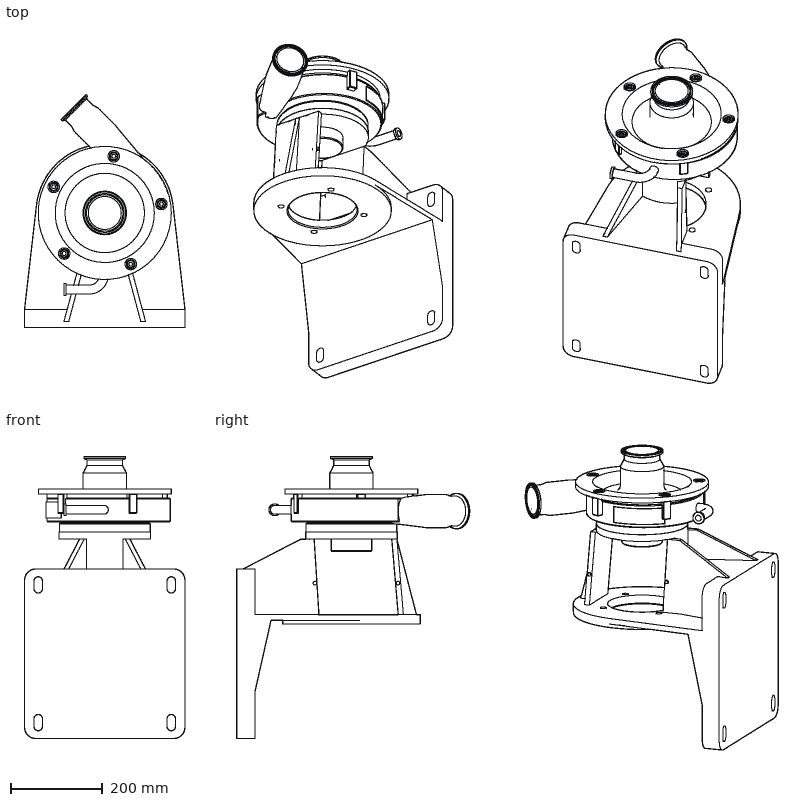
import cadquery as cq
import math


PLATE_WIDTH = 350.0
PLATE_HEIGHT = 370.0
PLATE_THICKNESS = 40.0
PLATE_TOP = 100.0
PLATE_FRONT = -250.0
PLATE_REAR = PLATE_FRONT + PLATE_THICKNESS
PLATE_CORNER_RADIUS = 25.0
SLOT_WIDTH = 18.0
SLOT_LENGTH = 35.0
SLOT_SPACING_X = 290.0
SLOT_SPACING_Z = 300.0

FLOOR_THICKNESS = 12.5
PAD_THICKNESS = 20.5
PAD_RADIUS = 150.0
FLOOR_BORE_RADIUS = 75.0
FLOOR_BORE_CHAMFER = 2.5
FLOOR_HOLE_DIAMETER = 13.0
FLOOR_HOLE_CIRCLE_RADIUS = 92.0
GUSSET_DEPTH = 35.0
GUSSET_BOTTOM = -168.0

POST_TOP = 165.0
POST_HALF_WIDTH = 55.0
FRONT_POST_INNER_BOTTOM = -70.5
FRONT_POST_INNER_TOP = -81.0
FRONT_POST_CORNER = -110.0
REAR_POST_INNER_BOTTOM = 101.7
REAR_POST_INNER_TOP = 87.6
REAR_POST_THICKNESS = 11.5
REAR_RIB_THICKNESS = 10.0
REAR_RIB_FOOT = 142.0
RIB_THICKNESS = 10.0
RIB_SPLAY = math.tan(math.radians(15.0))
RIB_END = -236.0
GUARD_HOLE_DIAMETER = 8.0
GUARD_HOLE_DEPTH = 12.0
GUARD_HOLE_Z = 69.0
GUARD_HOLE_FRONT_Y = -79.5
GUARD_HOLE_REAR_Y = 101.5

ADAPTER_RADIUS = 100.0
ADAPTER_UPPER_RADIUS = 99.3
ADAPTER_SPLIT = 180.0
ADAPTER_TOP = 200.0
ADAPTER_CHAMFER = 2.0
SHAFT_RADIUS = 44.5
SHAFT_BOTTOM = 137.5
SHAFT_CHAMFER = 2.0

CASING_BOTTOM = 202.5
CASING_TOP = 254.0
CASING_CHAMFER = 2.0
CASING_LEFT_RADIUS = 126.25
CASING_LEFT_CENTER_Y = -5.25
CASING_REACH_DIAGONAL = 136.5
CASING_REACH_RIGHT = 143.0
CASING_REACH_THROAT = 143.5
THROAT_ANGLE = 45.0
CASING_NECK_RADIUS = 126.0
BACK_RADIUS = 96.0
NAME_PAD_HEIGHT = 2.25
NAME_PAD_BOTTOM = 210.5
NAME_PAD_TOP = 246.0
NAME_PAD_START = 170.0
NAME_PAD_END = 222.0

COVER_RADIUS = 145.0
COVER_TOP = 274.0
COVER_BOTTOM = 263.0
DISH_RIM_RADIUS = 108.0
DISH_CONE_FOOT_RADIUS = 86.5
DISH_CONE_FOOT_Z = 250.5
DISH_FLOOR_OUTER_RADIUS = 76.0
DISH_FLOOR_INNER_RADIUS = 66.0
DISH_FLOOR_Z = 248.0
INLET_TOP = 344.5
INLET_BASE_RADIUS = 47.5
INLET_TAPER_BOTTOM = 308.7
INLET_TAPER_TOP = 325.0
INLET_TUBE_RADIUS = 39.0
INLET_LIP_RADIUS = 45.7
INLET_LIP_THICKNESS = 4.0
INLET_LIP_BACK = 3.0
INLET_BORE_RADIUS = 36.0
INLET_BORE_FLOOR = 215.0

INLET_GROOVE_RADIUS = 41.0
DISCHARGE_GROOVE_RADIUS = 35.0
GROOVE_WIDTH = 2.5
GROOVE_DEPTH = 1.5

BOLT_COUNT = 5
BOLT_START_ANGLE = 9.0
BOLT_CIRCLE_RADIUS = 125.0
LUG_WIDTH = 18.5
LUG_LENGTH = 24.0
LUG_REACH = 137.0
LUG_BOTTOM = 221.0
LUG_CHAMFER = 1.5
BOLT_RECESS_RADIUS = 12.5
BOLT_RECESS_DEPTH = 6.0
BOLT_HEAD_RADIUS = 9.5
BOLT_HEAD_CHAMFER = 2.0
BOLT_SOCKET_DIAMETER = 9.0
BOLT_SOCKET_DEPTH = 4.0

DISCHARGE_OFFSET = 115.0
DISCHARGE_Z = 225.8
DISCHARGE_END = 211.0
DISCHARGE_LIP_RADIUS = 38.75
DISCHARGE_LIP_THICKNESS = 4.0
DISCHARGE_LIP_BACK = 3.0
DISCHARGE_TUBE_RADIUS = 33.0
DISCHARGE_FLARE_START = 185.0
DISCHARGE_FLARE_END = 173.0
DISCHARGE_RADIUS = 36.5
DISCHARGE_CONE_START = 118.0
DISCHARGE_THROAT_RADIUS = 26.0
DISCHARGE_BORE_RADIUS = 30.0

DRAIN_Z = 228.7
DRAIN_RADIUS = 9.7
DRAIN_BEND_RADIUS = 32.0
DRAIN_Y = -167.0
DRAIN_BEND_X = -34.0
DRAIN_END_X = -89.0
DRAIN_LIP_RADIUS = 13.0
DRAIN_LIP_THICKNESS = 5.0
DRAIN_BORE_RADIUS = 6.5
DRAIN_ROOT_Y = -115.0


def cylinder(radius, bottom, top, x=0.0, y=0.0):
    """Vertical cylinder between two heights."""
    return cq.Workplane("XY", origin=(x, y, bottom)).circle(radius).extrude(top - bottom)


def polar(radius, angle):
    """Point at a radius and an angle in degrees around the pump axis."""
    turn = math.radians(angle)
    return (radius * math.cos(turn), radius * math.sin(turn))


def along_x(points, start, end):
    """Outline given as (Y, Z) points, extruded from one X to another."""
    return cq.Workplane("YZ", origin=(start, 0, 0)).polyline(points).close().extrude(end - start)


def wall_plate():
    plate_middle = (0, PLATE_REAR, PLATE_TOP - PLATE_HEIGHT / 2)
    plate = cq.Workplane("XZ", origin=plate_middle).rect(PLATE_WIDTH, PLATE_HEIGHT).extrude(PLATE_THICKNESS)
    plate = plate.edges("|Y").fillet(PLATE_CORNER_RADIUS)
    slots = (
        cq.Workplane("XZ", origin=plate_middle)
        .rarray(SLOT_SPACING_X, SLOT_SPACING_Z, 2, 2)
        .slot2D(SLOT_LENGTH, SLOT_WIDTH, 90)
        .extrude(PLATE_THICKNESS)
    )
    return plate.cut(slots)


def floor_outline(bottom, top):
    """Round pad outline drawn out by tangents to the full width of the wall plate."""
    corner_x = PLATE_WIDTH / 2
    corner_distance = math.hypot(corner_x, PLATE_REAR)
    corner_angle = math.degrees(math.atan2(PLATE_REAR, corner_x))
    tangent_angle = corner_angle + math.degrees(math.acos(PAD_RADIUS / corner_distance))
    tangent_x, tangent_y = polar(PAD_RADIUS, tangent_angle)
    return (
        cq.Workplane("XY", origin=(0, 0, bottom))
        .moveTo(corner_x, PLATE_REAR)
        .lineTo(tangent_x, tangent_y)
        .threePointArc((0, PAD_RADIUS), (-tangent_x, tangent_y))
        .lineTo(-corner_x, PLATE_REAR)
        .close()
        .extrude(top - bottom)
    )


def bracket_floor():
    gusset_profile = [
        (PLATE_REAR, 0),
        (PLATE_REAR + GUSSET_DEPTH, 0),
        (PLATE_REAR + GUSSET_DEPTH, -FLOOR_THICKNESS),
        (PLATE_REAR, GUSSET_BOTTOM),
    ]
    gusset = along_x(gusset_profile, -PLATE_WIDTH / 2, PLATE_WIDTH / 2)
    gusset = gusset.intersect(floor_outline(GUSSET_BOTTOM, 0))
    bore = cylinder(FLOOR_BORE_RADIUS, -PAD_THICKNESS, 0)
    pad = cylinder(PAD_RADIUS, -PAD_THICKNESS, 0).cut(bore)
    pad = pad.faces("<Z").edges(cq.selectors.RadiusNthSelector(0)).chamfer(FLOOR_BORE_CHAMFER)
    floor = floor_outline(-FLOOR_THICKNESS, 0).cut(bore).union(pad).union(gusset)
    holes = (
        cq.Workplane("XY", origin=(0, 0, -PAD_THICKNESS))
        .polarArray(FLOOR_HOLE_CIRCLE_RADIUS, 45, 360, 4)
        .circle(FLOOR_HOLE_DIAMETER / 2)
        .extrude(PAD_THICKNESS)
    )
    return floor.cut(holes)


def front_post():
    """Leaning inner face, round outer face, and two splayed ribs joined by a block up to the plate top.

    The outer face is flush with the adapter above it.
    """
    corner_x = POST_HALF_WIDTH
    splay = RIB_SPLAY * (FRONT_POST_CORNER - RIB_END)
    rib_width = RIB_THICKNESS * math.hypot(1, RIB_SPLAY)
    inner_x = corner_x - rib_width
    inner_return = RIB_SPLAY * (FRONT_POST_CORNER - FRONT_POST_INNER_BOTTOM)
    outline = [
        (corner_x, FRONT_POST_INNER_BOTTOM),
        (corner_x, FRONT_POST_CORNER),
        (corner_x + splay, RIB_END),
        (inner_x + splay, RIB_END),
        (inner_x + inner_return, FRONT_POST_INNER_BOTTOM),
    ]
    mirrored = [(-x, y) for x, y in outline]
    rib_envelope = along_x(
        [
            (FRONT_POST_INNER_BOTTOM, 0),
            (FRONT_POST_INNER_TOP, POST_TOP),
            (FRONT_POST_CORNER, POST_TOP),
            (RIB_END, PLATE_TOP),
            (RIB_END, 0),
        ],
        -PLATE_WIDTH / 2,
        PLATE_WIDTH / 2,
    )
    ribs = cq.Workplane("XY").polyline(outline).close().extrude(POST_TOP)
    ribs = ribs.union(cq.Workplane("XY").polyline(mirrored).close().extrude(POST_TOP))
    block_outline = outline[:3] + mirrored[2::-1]
    block = cq.Workplane("XY").polyline(block_outline).close().extrude(PLATE_TOP)
    wall = cylinder(ADAPTER_RADIUS, 0, POST_TOP).intersect(
        cq.Workplane("XY").rect(2 * POST_HALF_WIDTH, 2 * ADAPTER_RADIUS).extrude(POST_TOP)
    )
    return ribs.union(block).union(wall).intersect(rib_envelope)


def rear_post():
    """Leaning flat wall with a central triangular rib behind it."""
    wall_profile = [
        (REAR_POST_INNER_BOTTOM, 0),
        (REAR_POST_INNER_TOP, POST_TOP),
        (REAR_POST_INNER_TOP + REAR_POST_THICKNESS, POST_TOP),
        (REAR_POST_INNER_BOTTOM + REAR_POST_THICKNESS, 0),
    ]
    rib_profile = wall_profile[:3] + [(REAR_RIB_FOOT, 0)]
    wall = along_x(wall_profile, -POST_HALF_WIDTH, POST_HALF_WIDTH)
    return wall.union(along_x(rib_profile, -REAR_RIB_THICKNESS / 2, REAR_RIB_THICKNESS / 2))


def guard_holes():
    """Blind holes in both side faces of each post."""
    centers = [(GUARD_HOLE_FRONT_Y, 0), (GUARD_HOLE_REAR_Y, 0)]
    holes = cq.Workplane("YZ")
    for start in (-POST_HALF_WIDTH, POST_HALF_WIDTH - GUARD_HOLE_DEPTH):
        drill = (
            cq.Workplane("YZ", origin=(start, 0, GUARD_HOLE_Z))
            .pushPoints(centers)
            .circle(GUARD_HOLE_DIAMETER / 2)
            .extrude(GUARD_HOLE_DEPTH)
        )
        holes = holes.add(drill.vals())
    return holes.combine()


def adapter():
    lower = cylinder(ADAPTER_RADIUS, POST_TOP, ADAPTER_SPLIT)
    upper = cylinder(ADAPTER_UPPER_RADIUS, ADAPTER_SPLIT, ADAPTER_TOP).faces(">Z").chamfer(ADAPTER_CHAMFER)
    back = cylinder(BACK_RADIUS, ADAPTER_TOP, CASING_BOTTOM)
    shaft = cylinder(SHAFT_RADIUS, SHAFT_BOTTOM, POST_TOP).faces("<Z").chamfer(SHAFT_CHAMFER)
    return lower.union(upper).union(back).union(shaft)


def casing():
    """Casing that widens counter-clockwise from the rear to the discharge throat."""
    start_y = CASING_LEFT_CENTER_Y + CASING_LEFT_RADIUS
    front_y = CASING_LEFT_CENTER_Y - CASING_LEFT_RADIUS
    throat_middle = (CASING_REACH_RIGHT + CASING_REACH_THROAT) / 2
    volute = (
        cq.Workplane("XY", origin=(0, 0, CASING_BOTTOM))
        .moveTo(0, start_y)
        .threePointArc((-CASING_LEFT_RADIUS, CASING_LEFT_CENTER_Y), (0, front_y))
        .threePointArc(polar(CASING_REACH_DIAGONAL, -45), (CASING_REACH_RIGHT, 0))
        .threePointArc(polar(throat_middle, THROAT_ANGLE / 2), polar(CASING_REACH_THROAT, THROAT_ANGLE))
        .close()
        .extrude(CASING_TOP - CASING_BOTTOM)
        .faces("<Z or >Z")
        .chamfer(CASING_CHAMFER)
    )
    neck = cylinder(CASING_NECK_RADIUS, CASING_TOP, COVER_BOTTOM)
    return volute.union(neck).union(name_pad())


def name_pad():
    """Shallow raised band on the left side of the casing."""
    middle_angle = (NAME_PAD_START + NAME_PAD_END) / 2
    pad_radius = CASING_LEFT_RADIUS + NAME_PAD_HEIGHT
    return (
        cq.Workplane("XY", origin=(0, CASING_LEFT_CENTER_Y, NAME_PAD_BOTTOM))
        .lineTo(*polar(pad_radius, NAME_PAD_START))
        .threePointArc(polar(pad_radius, middle_angle), polar(pad_radius, NAME_PAD_END))
        .close()
        .extrude(NAME_PAD_TOP - NAME_PAD_BOTTOM)
    )


def cover():
    """Flange, dish and inlet turned about the pump axis."""
    fillet = DISH_FLOOR_INNER_RADIUS - INLET_BASE_RADIUS
    fillet_z = DISH_FLOOR_Z + fillet
    fillet_middle = fillet * (1 - math.sqrt(0.5))
    lip_bottom = INLET_TOP - INLET_LIP_THICKNESS
    return (
        cq.Workplane("XZ")
        .moveTo(0, CASING_BOTTOM)
        .lineTo(BACK_RADIUS, CASING_BOTTOM)
        .lineTo(BACK_RADIUS, COVER_BOTTOM)
        .lineTo(COVER_RADIUS, COVER_BOTTOM)
        .lineTo(COVER_RADIUS, COVER_TOP)
        .lineTo(DISH_RIM_RADIUS, COVER_TOP)
        .lineTo(DISH_CONE_FOOT_RADIUS, DISH_CONE_FOOT_Z)
        .lineTo(DISH_FLOOR_OUTER_RADIUS, DISH_FLOOR_Z)
        .lineTo(DISH_FLOOR_INNER_RADIUS, DISH_FLOOR_Z)
        .threePointArc(
            (INLET_BASE_RADIUS + fillet_middle, DISH_FLOOR_Z + fillet_middle), (INLET_BASE_RADIUS, fillet_z)
        )
        .lineTo(INLET_BASE_RADIUS, INLET_TAPER_BOTTOM)
        .lineTo(INLET_TUBE_RADIUS, INLET_TAPER_TOP)
        .lineTo(INLET_TUBE_RADIUS, lip_bottom - INLET_LIP_BACK)
        .lineTo(INLET_LIP_RADIUS, lip_bottom)
        .lineTo(INLET_LIP_RADIUS, INLET_TOP)
        .lineTo(0, INLET_TOP)
        .close()
        .revolve(360, (0, 0, 0), (0, 1, 0))
    )


def bolt_lug(angle):
    """Block hanging below the cover, square to the radius at an angle."""
    lug = (
        cq.Workplane("XY", origin=(LUG_REACH - LUG_LENGTH / 2, 0, LUG_BOTTOM))
        .rect(LUG_LENGTH, LUG_WIDTH)
        .extrude(COVER_BOTTOM - LUG_BOTTOM)
        .faces("<Z or >X")
        .chamfer(LUG_CHAMFER)
    )
    return lug.rotate((0, 0, 0), (0, 0, 1), angle)


def bolt_head(x, y):
    recess_floor = COVER_TOP - BOLT_RECESS_DEPTH
    head = cylinder(BOLT_HEAD_RADIUS, recess_floor, COVER_TOP, x, y).faces(">Z").chamfer(BOLT_HEAD_CHAMFER)
    socket = (
        cq.Workplane("XY", origin=(x, y, COVER_TOP - BOLT_SOCKET_DEPTH))
        .polygon(6, BOLT_SOCKET_DIAMETER)
        .extrude(BOLT_SOCKET_DEPTH)
    )
    return head.cut(socket)


def add_bolts(body):
    recess_floor = COVER_TOP - BOLT_RECESS_DEPTH
    for index in range(BOLT_COUNT):
        angle = BOLT_START_ANGLE + index * 360 / BOLT_COUNT
        x, y = polar(BOLT_CIRCLE_RADIUS, angle)
        body = body.union(bolt_lug(angle))
        body = body.cut(cylinder(BOLT_RECESS_RADIUS, recess_floor, COVER_TOP, x, y))
        body = body.union(bolt_head(x, y))
    return body


def discharge_plane():
    """Plane across the discharge axis, facing outward along it."""
    offset_x, offset_y = polar(DISCHARGE_OFFSET, THROAT_ANGLE)
    return cq.Plane(origin=(offset_x, offset_y, DISCHARGE_Z), xDir=(0, 0, 1), normal=(-1, 1, 0))


def discharge():
    """Discharge nozzle turned about its own axis."""
    plane = discharge_plane()
    lip_back = DISCHARGE_END - DISCHARGE_LIP_THICKNESS
    side = cq.Plane(origin=plane.origin, xDir=plane.xDir, normal=plane.yDir)
    profile = [
        (0, 0),
        (DISCHARGE_THROAT_RADIUS, 0),
        (DISCHARGE_RADIUS, DISCHARGE_CONE_START),
        (DISCHARGE_RADIUS, DISCHARGE_FLARE_END),
        (DISCHARGE_TUBE_RADIUS, DISCHARGE_FLARE_START),
        (DISCHARGE_TUBE_RADIUS, lip_back - DISCHARGE_LIP_BACK),
        (DISCHARGE_LIP_RADIUS, lip_back),
        (DISCHARGE_LIP_RADIUS, DISCHARGE_END),
        (0, DISCHARGE_END),
    ]
    points = [(radius, -distance) for radius, distance in profile]
    return cq.Workplane(side).polyline(points).close().revolve(360, (0, 0, 0), (0, 1, 0))


def discharge_bore():
    start = DISCHARGE_CONE_START
    bore = cq.Workplane(discharge_plane()).workplane(offset=start).circle(DISCHARGE_BORE_RADIUS)
    return bore.extrude(DISCHARGE_END - start)


def gasket_groove(plane, distance, radius):
    """Ring groove sunk into a lip face at a distance along the normal of a plane."""
    return (
        cq.Workplane(plane)
        .workplane(offset=distance - GROOVE_DEPTH)
        .circle(radius + GROOVE_WIDTH / 2)
        .circle(radius - GROOVE_WIDTH / 2)
        .extrude(GROOVE_DEPTH)
    )


def drain():
    """Pipe leaving the casing forward, bending to the left and ending in a lip."""
    root_x = DRAIN_BEND_X + DRAIN_BEND_RADIUS
    bend_y = DRAIN_Y + DRAIN_BEND_RADIUS
    middle = DRAIN_BEND_RADIUS * math.sqrt(0.5)
    path = (
        cq.Workplane("XY", origin=(0, 0, DRAIN_Z))
        .moveTo(root_x, DRAIN_ROOT_Y)
        .lineTo(root_x, bend_y)
        .threePointArc((DRAIN_BEND_X + middle, bend_y - middle), (DRAIN_BEND_X, DRAIN_Y))
        .lineTo(DRAIN_END_X, DRAIN_Y)
    )
    pipe = cq.Workplane("XZ", origin=(root_x, DRAIN_ROOT_Y, DRAIN_Z)).circle(DRAIN_RADIUS).sweep(path)
    lip = cq.Workplane("YZ", origin=(DRAIN_END_X, DRAIN_Y, DRAIN_Z)).circle(DRAIN_LIP_RADIUS)
    bore = cq.Workplane("YZ", origin=(DRAIN_END_X, DRAIN_Y, DRAIN_Z)).circle(DRAIN_BORE_RADIUS)
    pipe = pipe.union(lip.extrude(DRAIN_LIP_THICKNESS))
    return pipe.cut(bore.extrude(DRAIN_BEND_X - DRAIN_END_X))


bracket = wall_plate().union(bracket_floor()).union(front_post()).union(rear_post()).cut(guard_holes())
pump = adapter().union(casing()).union(cover()).union(discharge())
pump = add_bolts(pump).cut(cylinder(INLET_BORE_RADIUS, INLET_BORE_FLOOR, INLET_TOP))
pump = pump.cut(discharge_bore()).union(drain())
pump = pump.cut(gasket_groove(cq.Plane.XY(), INLET_TOP, INLET_GROOVE_RADIUS))
pump = pump.cut(gasket_groove(discharge_plane(), DISCHARGE_END, DISCHARGE_GROOVE_RADIUS))
result = bracket.union(pump)